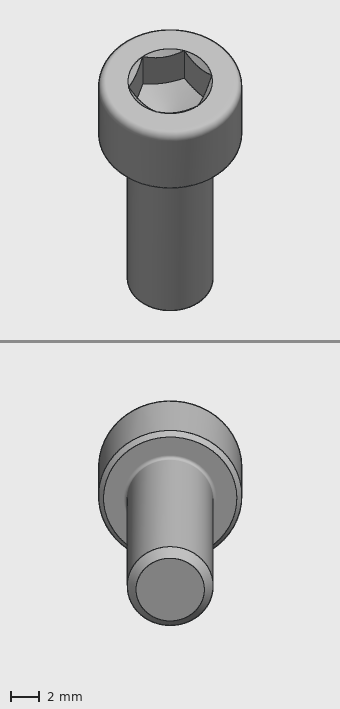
import cadquery as cq
import math

total_length = 22.0
head_diameter = 10.0
head_height = 6.0
shank_diameter = 6.0

head_top_fillet = 0.62
head_bottom_chamfer = 0.35
neck_fillet = 0.25
tip_chamfer = 0.62

socket_across_flats = 5.1
socket_depth = 3.0
socket_floor_diameter = 0.84
floor_cone_angle = 30.0

head_radius = head_diameter / 2
shank_radius = shank_diameter / 2
shank_length = total_length - head_height
socket_across_corners = socket_across_flats / math.cos(math.radians(30))
socket_corner_radius = socket_across_corners / 2


def make_shank():
    shank = cq.Workplane("XY").circle(shank_radius).extrude(shank_length)
    return shank.faces("<Z").chamfer(tip_chamfer)


def make_head():
    head = cq.Workplane("XY").workplane(offset=shank_length).circle(head_radius).extrude(head_height)
    head = head.faces(">Z").edges().fillet(head_top_fillet)
    return head.faces("<Z").chamfer(head_bottom_chamfer)


def make_neck_fillet():
    """Concave ring joining the shank to the underside of the head."""
    outer_radius = shank_radius + neck_fillet
    bottom = shank_length - neck_fillet
    diagonal = neck_fillet * math.sqrt(0.5)
    return (
        cq.Workplane("XZ")
        .moveTo(0, bottom)
        .lineTo(shank_radius, bottom)
        .threePointArc((outer_radius - diagonal, bottom + diagonal), (outer_radius, shank_length))
        .lineTo(0, shank_length)
        .close()
        .revolve(360, (0, 0), (0, 1))
    )


def make_socket():
    """Hexagonal prism, its conical floor and the conical lead-in at the mouth."""
    floor_slope = math.tan(math.radians(floor_cone_angle))
    floor_radius = socket_floor_diameter / 2
    wall_bottom = total_length - socket_depth
    cone_bottom = wall_bottom - (socket_corner_radius - floor_radius) * floor_slope
    lead_in_bottom = total_length - socket_corner_radius
    hexagon = (
        cq.Workplane("XY")
        .workplane(offset=cone_bottom)
        .polygon(6, socket_across_corners)
        .extrude(total_length - cone_bottom)
    )
    envelope = (
        cq.Workplane("XZ")
        .moveTo(0, cone_bottom)
        .lineTo(floor_radius, cone_bottom)
        .lineTo(socket_corner_radius, wall_bottom)
        .lineTo(socket_corner_radius, total_length)
        .lineTo(0, total_length)
        .close()
        .revolve(360, (0, 0), (0, 1))
    )
    lead_in = (
        cq.Workplane("XZ")
        .moveTo(0, lead_in_bottom)
        .lineTo(socket_corner_radius, total_length)
        .lineTo(0, total_length)
        .close()
        .revolve(360, (0, 0), (0, 1))
    )
    return hexagon.intersect(envelope).union(lead_in)


result = make_shank().union(make_head()).union(make_neck_fillet()).cut(make_socket())